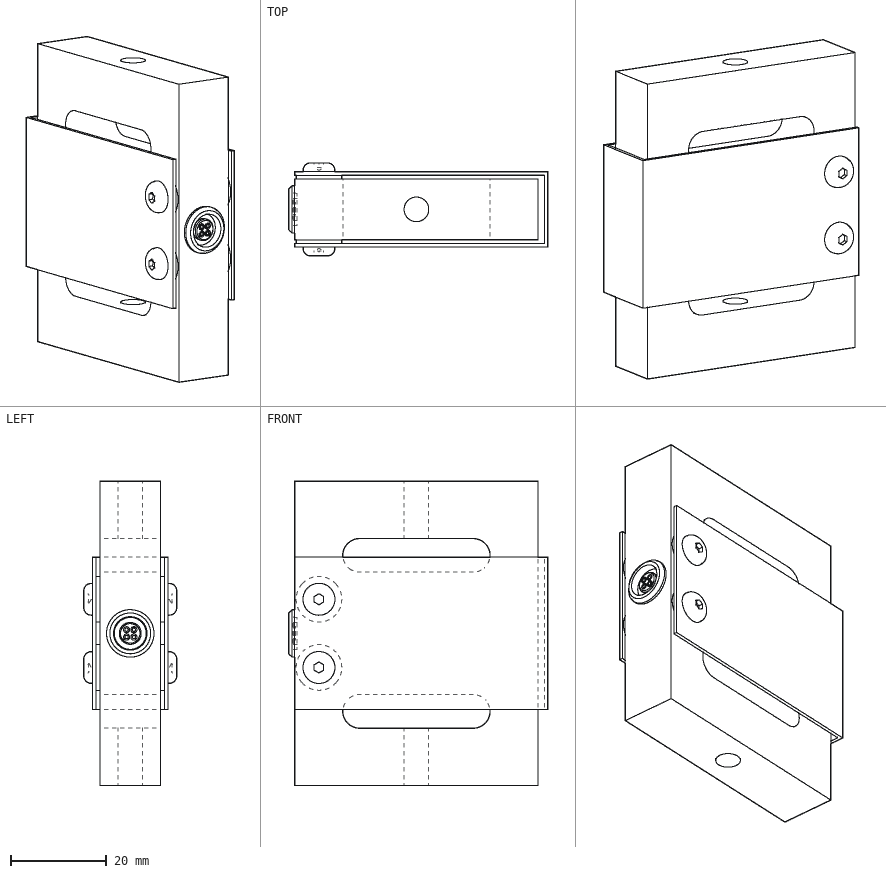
import cadquery as cq

BLOCK_LENGTH = 50.8
BLOCK_DEPTH = 12.7
BLOCK_HEIGHT = 63.5

SLOT_WIDTH = 7.0
SLOT_LENGTH = 30.7
SLOT_Z = 16.25

LOAD_HOLE_DIAMETER = 5.15
LOAD_HOLE_DEPTH = BLOCK_HEIGHT / 2 - SLOT_Z

COVER_THICKNESS = 0.75
COVER_HEIGHT = 31.75
COVER_SIDE_GAP = 0.75
COVER_END_GAP = 1.3
COVER_INNER_Y = BLOCK_DEPTH / 2 + COVER_SIDE_GAP
COVER_OUTER_Y = COVER_INNER_Y + COVER_THICKNESS
COVER_INNER_X = BLOCK_LENGTH + COVER_END_GAP
COVER_OUTER_X = COVER_INNER_X + COVER_THICKNESS

SCREW_X = 5.1
SCREW_Z = 7.1
WASHER_DIAMETER = 9.5
HEAD_DIAMETER = 6.65
HEAD_FLAT_DIAMETER = 3.5
HEAD_HEIGHT = 1.85
HEAD_ROUND_RADIUS = (HEAD_DIAMETER - HEAD_FLAT_DIAMETER) / 2
HEX_CORNER_DIAMETER = 2.3
HEX_DEPTH = 0.95
HEX_CONE_DEPTH = 0.65

FLANGE_DIAMETER = 9.9
FLANGE_FACE_DIAMETER = 8.5
FLANGE_RIM = 0.5
FLANGE_HEIGHT = 1.3
RECESS_FLOOR_DIAMETER = 6.65
RECESS_MOUTH_DIAMETER = 7.0
RECESS_DEPTH = 1.8
HUB_DIAMETER = 4.6
HUB_CHAMFER = 0.25
HUB_HEIGHT = 0.95
SOCKET_DIAMETER = 1.3
SOCKET_DEPTH = 0.65
SOCKET_SPACING = 1.5
PIN_DIAMETER = 0.7


def make_block():
    block = cq.Workplane("XY").box(BLOCK_LENGTH, BLOCK_DEPTH, BLOCK_HEIGHT)
    slots = (
        cq.Workplane("XZ")
        .pushPoints([(0, SLOT_Z), (0, -SLOT_Z)])
        .slot2D(SLOT_LENGTH, SLOT_WIDTH)
        .extrude(BLOCK_DEPTH, both=True)
    )
    block = block.cut(slots)
    for face in (">Z", "<Z"):
        block = block.faces(face).workplane().hole(LOAD_HOLE_DIAMETER, LOAD_HOLE_DEPTH)
    return block.translate((BLOCK_LENGTH / 2, 0, 0))


def make_cover():
    outer = cq.Workplane("XY").box(
        COVER_OUTER_X, 2 * COVER_OUTER_Y, COVER_HEIGHT, centered=(False, True, True)
    )
    inner = cq.Workplane("XY").box(
        COVER_INNER_X, 2 * COVER_INNER_Y, COVER_HEIGHT, centered=(False, True, True)
    )
    return outer.cut(inner)


def make_hex_socket():
    """Hexagonal hole below Z = 0, ending in a cone."""
    depth = HEX_DEPTH + HEX_CONE_DEPTH
    prism = cq.Workplane("XY").polygon(6, HEX_CORNER_DIAMETER).extrude(-depth)
    pointed_rod = (
        cq.Workplane("XZ")
        .polyline([
            (0, 0),
            (HEX_CORNER_DIAMETER / 2, 0),
            (HEX_CORNER_DIAMETER / 2, -HEX_DEPTH),
            (0, -depth),
        ])
        .close()
        .revolve(360, (0, 0), (0, 1))
    )
    return prism.intersect(pointed_rod).rotate((0, 0, 0), (0, 0, 1), 90)


def make_screw():
    """Washer standing on Z = 0 and the screw head above it, one cover thickness apart."""
    washer = cq.Workplane("XY").circle(WASHER_DIAMETER / 2).extrude(COVER_SIDE_GAP)
    head_base = COVER_SIDE_GAP + COVER_THICKNESS
    head = (
        cq.Workplane("XY")
        .circle(HEAD_DIAMETER / 2)
        .extrude(HEAD_HEIGHT)
        .faces(">Z")
        .edges()
        .fillet(HEAD_ROUND_RADIUS)
        .cut(make_hex_socket().translate((0, 0, HEAD_HEIGHT)))
        .translate((0, 0, head_base))
    )
    return washer, head


def make_screws():
    """Washers and heads of the four screws, two on each side of the block."""
    parts = []
    for side in (1, -1):
        for z in (SCREW_Z, -SCREW_Z):
            for part in make_screw():
                turned = part.rotate((0, 0, 0), (1, 0, 0), -90 * side)
                parts.append(turned.translate((SCREW_X, side * BLOCK_DEPTH / 2, z)))
    return parts


def make_connector_flange():
    """Bevelled disc on the left face."""
    bevel_height = FLANGE_HEIGHT - FLANGE_RIM
    bevel_width = (FLANGE_DIAMETER - FLANGE_FACE_DIAMETER) / 2
    return (
        cq.Workplane("YZ")
        .circle(FLANGE_DIAMETER / 2)
        .extrude(-FLANGE_HEIGHT)
        .faces("<X")
        .edges()
        .chamfer(bevel_height, bevel_width)
    )


def make_connector_recess():
    """Round recess narrowing towards its floor, leaving the hub with its pins standing."""
    floor_x = RECESS_DEPTH - FLANGE_HEIGHT
    bore = (
        cq.Workplane("YZ", origin=(-FLANGE_HEIGHT, 0, 0))
        .circle(RECESS_MOUTH_DIAMETER / 2)
        .workplane(offset=RECESS_DEPTH)
        .circle(RECESS_FLOOR_DIAMETER / 2)
        .loft()
    )
    hub = (
        cq.Workplane("YZ", origin=(floor_x, 0, 0))
        .circle(HUB_DIAMETER / 2)
        .extrude(-HUB_HEIGHT)
        .faces("<X")
        .edges()
        .chamfer(HUB_CHAMFER)
    )
    sockets = (
        cq.Workplane("YZ", origin=(floor_x - HUB_HEIGHT, 0, 0))
        .rect(SOCKET_SPACING, SOCKET_SPACING, forConstruction=True)
        .vertices()
        .circle(SOCKET_DIAMETER / 2)
        .circle(PIN_DIAMETER / 2)
        .extrude(SOCKET_DEPTH)
    )
    return bore.cut(hub.cut(sockets))


result = make_block().union(make_cover())
for screw_part in make_screws():
    result = result.union(screw_part)
result = result.union(make_connector_flange()).cut(make_connector_recess())